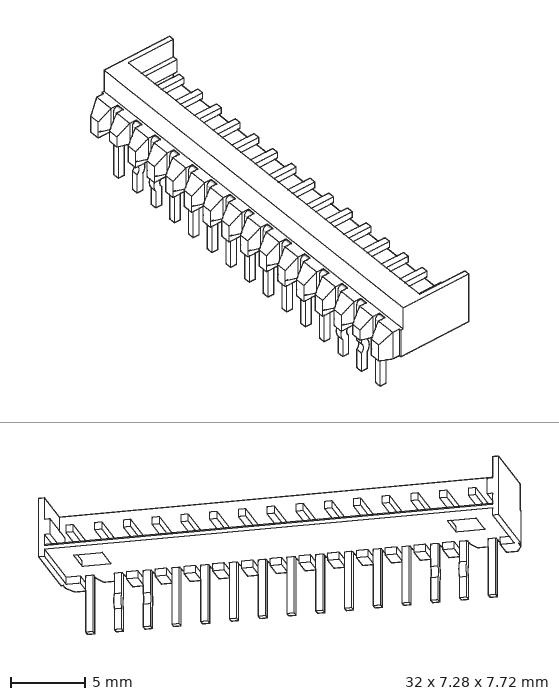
import cadquery as cq


LENGTH = 32.0
PIN_COUNT = 15
PITCH = LENGTH / (PIN_COUNT + 1)
TOOTH_COUNT = PIN_COUNT + 1

HEIGHT = 4.2
DEPTH = 5.65
STANDOFF = 0.5
WALL_DEPTH = 1.75
FLOOR_THICKNESS = 0.4
FLOOR_CHAMFER = 0.13
LEDGE_TOP = 2.35
LEDGE_DEPTH = 0.2
END_WALL = 0.4

RIB_WIDTH = 0.4
RIB_BOTTOM = 1.57
RIB_HEIGHT = 1.1

WINDOW_END = 4.0

TOOTH_DEPTH = 1.63
TOOTH_STRAIGHT = 0.77
TOOTH_WIDTH = 1.4
TOOTH_TIP_WIDTH = 0.8
TOOTH_TIP_TOP = 1.4
END_TOOTH_INSET = 0.15

PIN_WIDTH = 0.5
PIN_LEG_BACK = -0.05
PIN_LEG_FRONT = PIN_LEG_BACK - PIN_WIDTH
PIN_TAIL_END = 5.1
PIN_TOP = LEDGE_TOP - 0.03
PIN_BOTTOM = -3.52
PIN_BEND_RADIUS = 0.3

KINK_Z = -1.5
KINK_OFFSET = 0.15
KINK_OUTER_HALF = 0.55
KINK_INNER_HALF = 0.4
FORWARD, BACKWARD = -1, 1
KINKS = {
    1: BACKWARD,
    2: FORWARD,
    PIN_COUNT - 3: FORWARD,
    PIN_COUNT - 2: BACKWARD,
}


def block(x0, x1, y0, y1, z0, z1):
    """Axis-aligned box between two opposite corners."""
    return cq.Workplane("XY").box(x1 - x0, y1 - y0, z1 - z0, centered=False).translate((x0, y0, z0))


def pin_x(index):
    return (index - (PIN_COUNT - 1) / 2) * PITCH


def tooth_x(index):
    return (index - (TOOTH_COUNT - 1) / 2) * PITCH


def end_wall():
    """Left end wall with its guide rib; the right one is its mirror image."""
    outer = -LENGTH / 2
    inner = outer + END_WALL
    wall = block(outer, inner, -LEDGE_DEPTH, DEPTH, 0, LEDGE_TOP)
    wall = wall.union(block(outer, inner, 0, DEPTH, 0, HEIGHT))
    rib = block(outer, inner + RIB_WIDTH, 0, DEPTH, RIB_BOTTOM, RIB_BOTTOM + RIB_HEIGHT)
    return wall.union(rib)


def housing():
    half = LENGTH / 2
    floor = block(-half, half, 0, DEPTH, STANDOFF, STANDOFF + FLOOR_THICKNESS)
    floor = floor.edges("|X and >Y and >Z").chamfer(FLOOR_CHAMFER)
    body = floor.union(block(-half, half, 0, WALL_DEPTH, STANDOFF, HEIGHT))
    body = body.union(block(-half, half, -LEDGE_DEPTH, 0, STANDOFF, LEDGE_TOP))
    left_wall = end_wall()
    body = body.union(left_wall).union(left_wall.mirror("YZ"))

    for first_pin in (0, PIN_COUNT - 2):
        window = block(
            pin_x(first_pin), pin_x(first_pin + 1),
            WALL_DEPTH, WINDOW_END,
            STANDOFF, STANDOFF + FLOOR_THICKNESS,
        )
        body = body.cut(window)
    return body


def tooth(index):
    """Tooth tapering towards its tip in plan, with a sloped top and a narrow foot."""
    center = tooth_x(index)
    left = center - TOOTH_WIDTH / 2
    right = center + TOOTH_WIDTH / 2
    if index == 0:
        left = -LENGTH / 2 + END_TOOTH_INSET
    if index == TOOTH_COUNT - 1:
        right = LENGTH / 2 - END_TOOTH_INSET
    tip_left = center - TOOTH_TIP_WIDTH / 2
    tip_right = center + TOOTH_TIP_WIDTH / 2

    plan = (
        cq.Workplane("XY")
        .polyline([
            (left, 0),
            (left, -TOOTH_STRAIGHT),
            (tip_left, -TOOTH_DEPTH),
            (tip_right, -TOOTH_DEPTH),
            (right, -TOOTH_STRAIGHT),
            (right, 0),
        ])
        .close()
        .extrude(LEDGE_TOP)
    )
    side = (
        cq.Workplane("YZ", origin=(left, 0, 0))
        .polyline([
            (0, 0),
            (0, LEDGE_TOP),
            (-TOOTH_STRAIGHT, LEDGE_TOP),
            (-TOOTH_DEPTH, TOOTH_TIP_TOP),
            (-TOOTH_DEPTH, 0),
        ])
        .close()
        .extrude(right - left)
    )
    body = plan.intersect(side)

    foot_left = left if index == 0 else tip_left
    foot_right = right if index == TOOTH_COUNT - 1 else tip_right
    if index in (1, TOOTH_COUNT - 2):
        return body.cut(block(left, right, -TOOTH_DEPTH, 0, 0, STANDOFF))
    if foot_left > left:
        body = body.cut(block(left, foot_left, -TOOTH_DEPTH, 0, 0, STANDOFF))
    if foot_right < right:
        body = body.cut(block(foot_right, right, -TOOTH_DEPTH, 0, 0, STANDOFF))
    return body


def arc_slab(face_y, direction, half_height):
    """Segment standing off a leg face, bounded by a chord on it and an arc."""
    return (
        cq.Workplane("YZ", origin=(-PIN_WIDTH / 2, 0, 0))
        .moveTo(face_y, KINK_Z - half_height)
        .threePointArc((face_y + direction * KINK_OFFSET, KINK_Z), (face_y, KINK_Z + half_height))
        .close()
        .extrude(PIN_WIDTH)
    )


def pin(kink=None):
    """Bent pin centred on X = 0, optionally kinked FORWARD or BACKWARD."""
    half = PIN_WIDTH / 2
    tail = block(-half, half, PIN_LEG_FRONT, PIN_TAIL_END, PIN_TOP - PIN_WIDTH, PIN_TOP)
    leg = block(-half, half, PIN_LEG_FRONT, PIN_LEG_BACK, PIN_BOTTOM, PIN_TOP)
    body = tail.union(leg).edges("|X and <Y and >Z").fillet(PIN_BEND_RADIUS)
    if kink is None:
        return body
    bulge_face, hollow_face = PIN_LEG_FRONT, PIN_LEG_BACK
    if kink == BACKWARD:
        bulge_face, hollow_face = hollow_face, bulge_face
    body = body.union(arc_slab(bulge_face, kink, KINK_OUTER_HALF))
    return body.cut(arc_slab(hollow_face, kink, KINK_INNER_HALF))


result = housing()
for tooth_index in range(TOOTH_COUNT):
    result = result.union(tooth(tooth_index))
for pin_index in range(PIN_COUNT):
    bent_pin = pin(KINKS.get(pin_index))
    result = result.union(bent_pin.translate((pin_x(pin_index), 0, 0)))